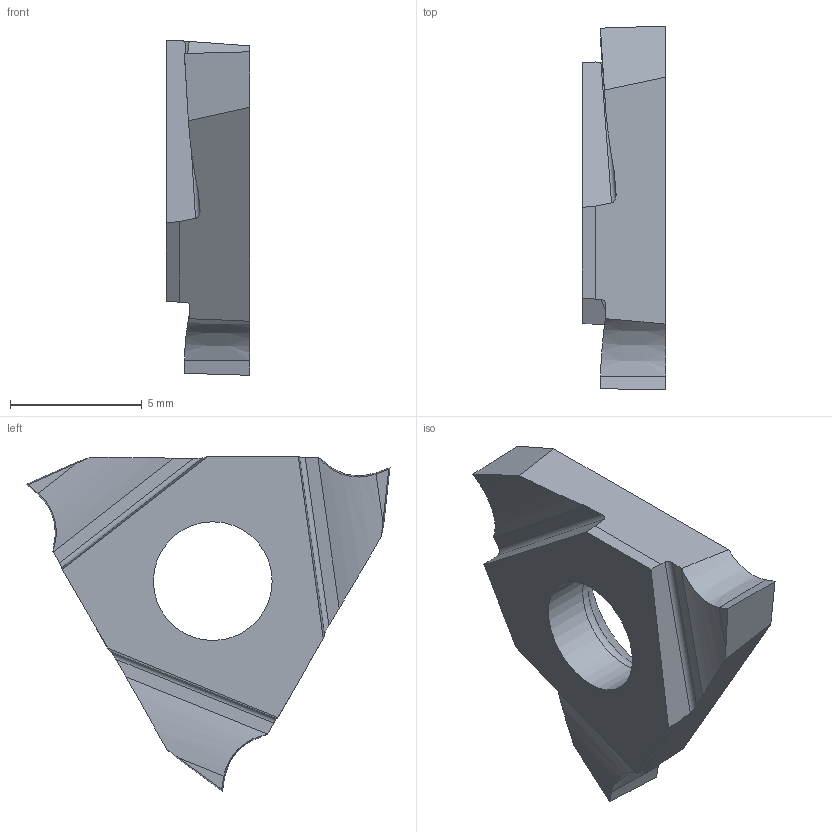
import cadquery as cq
import math


thickness = 3.18
body_apothem = 4.715
land_width = 0.5
first_corner_angle = 30.0
side_relief = 4.2
corner_count = 3
corner_pitch = 360.0 / corner_count

tip_radius = 7.97
tip_angle = 27.4
flank_angle = 156.3
lip_angle = 220.0
lip_length = 0.56
scoop_radius = 1.9
scoop_end_angle = 235.0
flank_reach = 5.0
tip_relief = 1.0

groove_normal_angle = 52.0
groove_tilt = 3.4
wall_u = 3.85
wall_slope = 3.5
root_depth = 1.16
root_radius = 0.2
strip_end_u = 4.6
strip_end_depth = 1.124
rake_end_u = 6.69
rake_depth = 0.89
groove_clear_u = 9.0
groove_clear_x = -1.5
groove_length = 24.0

hole_radius = 2.25
flare_radius = 3.24
flare_angle = 42.0
flare_blend_radius = 0.65


def polar(origin, radius, angle):
    """Point at a distance and an angle (degrees) from an origin point."""
    turn = math.radians(angle)
    return (origin[0] + radius * math.cos(turn), origin[1] + radius * math.sin(turn))


def turned(point, angle):
    """Point turned about the hole axis by an angle in degrees."""
    radius = math.hypot(point[0], point[1])
    return polar((0, 0), radius, math.degrees(math.atan2(point[1], point[0])) + angle)


def make_body():
    """Triangular prism: a square land, then sides relieved toward the back face."""
    corner_radius = body_apothem / math.cos(math.pi / corner_count)
    corner_angles = [first_corner_angle + i * corner_pitch for i in range(corner_count)]
    corners = [polar((0, 0), corner_radius, angle) for angle in corner_angles]
    land = cq.Workplane("YZ").polyline(corners).close().extrude(land_width)
    relieved = (
        cq.Workplane("YZ", origin=(land_width, 0, 0))
        .polyline(corners)
        .close()
        .extrude(thickness - land_width, taper=side_relief)
    )
    return land.union(relieved)


def make_corner_envelope():
    """Prism that trims the triangle corners to the flanks, lips and scoops."""
    tip = polar((0, 0), tip_radius, tip_angle)
    flank_start = polar(tip, flank_reach, flank_angle)
    lip_end = polar(tip, lip_length, lip_angle)
    scoop_start_angle = lip_angle - 90
    scoop_center = polar(lip_end, scoop_radius, lip_angle + 90)
    scoop_mid = polar(scoop_center, scoop_radius, (scoop_start_angle + scoop_end_angle) / 2)
    scoop_end = polar(scoop_center, scoop_radius, scoop_end_angle)

    outline = cq.Workplane("YZ", origin=(thickness, 0, 0)).moveTo(*flank_start)
    for i in range(corner_count):
        turn = -i * corner_pitch
        if i > 0:
            outline = outline.lineTo(*turned(flank_start, turn))
        outline = outline.lineTo(*turned(tip, turn))
        outline = outline.lineTo(*turned(lip_end, turn))
        outline = outline.threePointArc(turned(scoop_mid, turn), turned(scoop_end, turn))
    return outline.close().extrude(-thickness, taper=tip_relief)


def make_groove_cutter():
    """Tilted straight cutter for the chip groove and rake of the reference corner."""
    wall_slope_tan = math.tan(math.radians(wall_slope))
    wall_top = (wall_u + groove_clear_x * wall_slope_tan, groove_clear_x)
    root = (wall_u + root_depth * wall_slope_tan, root_depth)

    rake_run = rake_end_u - strip_end_u
    rake_rise = strip_end_depth - rake_depth
    rake_radius = (rake_run**2 + rake_rise**2) / (2 * rake_rise)
    rake_center = (rake_end_u, rake_depth + rake_radius)
    half_sweep = math.degrees(math.asin(rake_run / rake_radius)) / 2
    rake_mid = polar(rake_center, rake_radius, 270 - half_sweep)

    profile = (
        cq.Workplane("XY", origin=(0, 0, -groove_length / 2))
        .moveTo(wall_top[1], wall_top[0])
        .lineTo(root[1], root[0])
        .lineTo(strip_end_depth, strip_end_u)
        .threePointArc((rake_mid[1], rake_mid[0]), (rake_depth, rake_end_u))
        .lineTo(rake_depth, groove_clear_u)
        .lineTo(groove_clear_x, groove_clear_u)
        .close()
        .extrude(groove_length)
    )
    root_edge = cq.selectors.NearestToPointSelector((root[1], root[0], 0))
    cutter = profile.edges("|Z").edges(root_edge).fillet(root_radius)
    cutter = cutter.rotate((0, 0, 0), (0, 1, 0), groove_tilt)
    return cutter.rotate((0, 0, 0), (1, 0, 0), groove_normal_angle)


def make_hole_cutter():
    """Bore, rounded transition and cone, revolved about the X axis."""
    flare_tan = math.tan(math.radians(flare_angle))
    cone_foot_x = thickness - (flare_radius - hole_radius) / flare_tan
    blend_length = flare_blend_radius * math.tan(math.radians(flare_angle / 2))
    blend_start = (cone_foot_x - blend_length, hole_radius)
    blend_center = (blend_start[0], hole_radius + flare_blend_radius)
    blend_mid = polar(blend_center, flare_blend_radius, 270 + flare_angle / 2)
    blend_end = polar(blend_center, flare_blend_radius, 270 + flare_angle)
    return (
        cq.Workplane("XY")
        .lineTo(0, hole_radius)
        .lineTo(*blend_start)
        .threePointArc(blend_mid, blend_end)
        .lineTo(thickness, flare_radius)
        .lineTo(thickness, 0)
        .close()
        .revolve(360, (0, 0, 0), (1, 0, 0))
    )


result = make_body().intersect(make_corner_envelope())
groove_cutter = make_groove_cutter()
for i in range(corner_count):
    result = result.cut(groove_cutter.rotate((0, 0, 0), (1, 0, 0), i * corner_pitch))
result = result.cut(make_hole_cutter())